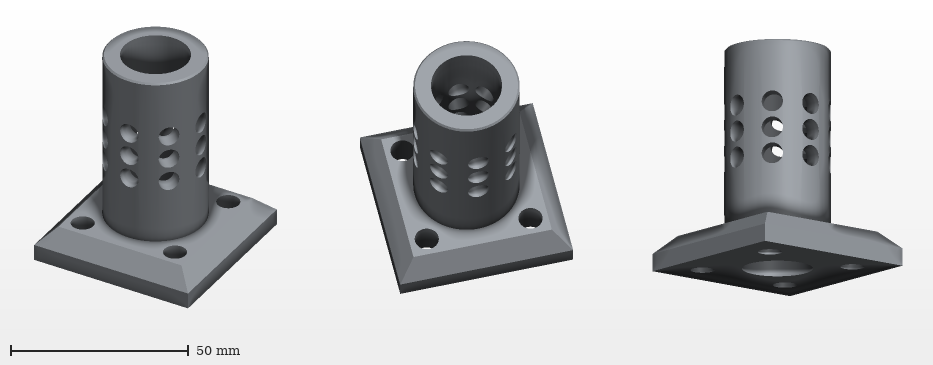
import cadquery as cq

base_side = 50.0
base_height = 10.0
base_bevel = 5.0

mount_hole_diameter = 6.8
mount_hole_spacing = 30.0

total_height = 63.0
tube_outer_diameter = 30.0
bore_diameter = 20.0
rim_chamfer = 0.5

radial_hole_diameter = 6.0
lowest_row_height = 30.0
row_pitch = 7.5
row_count = 3
holes_per_row = 8


def make_base():
    block = cq.Workplane("XY").rect(base_side, base_side).extrude(base_height)
    block = block.faces(">Z").chamfer(base_bevel)
    mount_holes = (
        cq.Workplane("XY")
        .rect(mount_hole_spacing, mount_hole_spacing, forConstruction=True)
        .vertices()
        .circle(mount_hole_diameter / 2)
        .extrude(base_height)
    )
    return block.cut(mount_holes)


def make_tube():
    tube = cq.Workplane("XY").circle(tube_outer_diameter / 2).extrude(total_height)
    return tube.faces(">Z").edges().chamfer(rim_chamfer)


def make_bore():
    return cq.Workplane("XY").circle(bore_diameter / 2).extrude(total_height)


def make_radial_hole(height, angle):
    """Cylinder along a full diameter of the tube, piercing both walls."""
    hole = (
        cq.Workplane("YZ")
        .center(0, height)
        .circle(radial_hole_diameter / 2)
        .extrude(tube_outer_diameter / 2 + radial_hole_diameter, both=True)
    )
    return hole.rotate((0, 0, 0), (0, 0, 1), angle)


result = make_base().union(make_tube()).cut(make_bore())

cuts_per_row = holes_per_row // 2
angle_step = 360.0 / holes_per_row
for row in range(row_count):
    row_height = lowest_row_height + row * row_pitch
    for index in range(cuts_per_row):
        result = result.cut(make_radial_hole(row_height, index * angle_step))